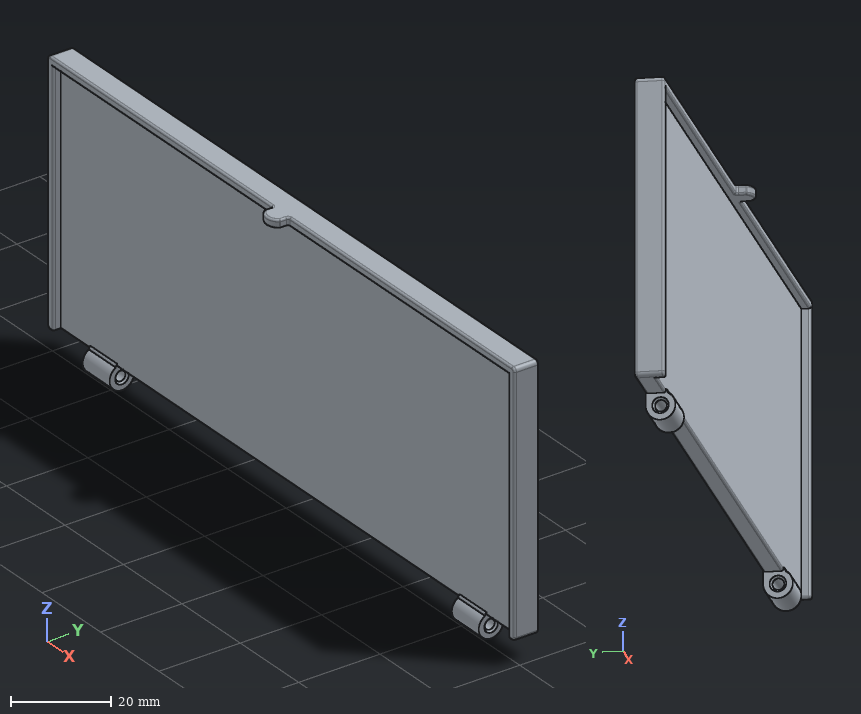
import cadquery as cq
import math

length = 160.0
depth = 9.6
height = 68.0
rim_depth = 6.0
recess_depth = 2.0
rim_width = 2.0
corner_radius = 1.0
tab_root_radius = 0.5
edge_round = 0.5

barrel_length = 9.3
barrel_overlap = 0.5
barrel_inset = 12.2
blend_radius = 0.8
pin_diameter = 2.4
pin_chamfer = 0.5

tab_width = 5.3
tab_arc_rise = 1.5

barrel_diameter = rim_depth
barrel_radius = barrel_diameter / 2
barrel_center_y = rim_depth - barrel_radius
barrel_center_x = length / 2 - barrel_inset - barrel_length / 2
tray_bottom = barrel_diameter - barrel_overlap
tray_height = height - tray_bottom
tab_reach = depth - rim_depth


def box(x_size, y_size, z_size, y_min, z_min):
    """Box centred on X that starts at the given Y and Z."""
    return (
        cq.Workplane("XY")
        .box(x_size, y_size, z_size, centered=(True, False, False))
        .translate((0, y_min, z_min))
    )


def make_tab():
    """Finger tab with a rounded tip, as thick as the rim and level with its top."""
    half_width = tab_width / 2
    shoulder_y = tab_arc_rise - tab_reach
    return (
        cq.Workplane("XY")
        .workplane(offset=height - rim_width)
        .moveTo(-half_width, recess_depth)
        .lineTo(-half_width, shoulder_y)
        .threePointArc((0, -tab_reach), (half_width, shoulder_y))
        .lineTo(half_width, recess_depth)
        .close()
        .extrude(rim_width)
    )


def make_tray():
    """Panel with a rim on the top and both ends, open along its bottom, and the tab."""
    outer = box(length, rim_depth, tray_height, 0, tray_bottom).edges("|Y").fillet(corner_radius)
    recess = box(length - 2 * rim_width, recess_depth, tray_height - rim_width, 0, tray_bottom)
    tray = outer.cut(recess).union(make_tab())
    root_corners = cq.selectors.BoxSelector(
        (-tab_width, -edge_round, tray_bottom), (tab_width, edge_round, height)
    )
    tray = tray.edges("|Z").edges(root_corners).fillet(tab_root_radius)
    recess_corners = cq.selectors.BoxSelector(
        (-length / 2 + edge_round, edge_round, tray_bottom + edge_round),
        (length / 2 - edge_round, recess_depth + edge_round, height - edge_round),
    )
    return tray.edges(-recess_corners).fillet(edge_round)


def make_barrel(center_x):
    """Hinge barrel flush with the back face, blended by an arc into the front of the panel."""
    panel_front = recess_depth
    blend_center_y = panel_front - blend_radius
    center_gap = barrel_radius + blend_radius
    gap_y = barrel_center_y - blend_center_y
    gap_z = math.sqrt(center_gap**2 - gap_y**2)
    blend_center_z = barrel_radius + gap_z
    touch_share = barrel_radius / center_gap
    touch_point = (barrel_center_y - gap_y * touch_share, barrel_radius + gap_z * touch_share)
    diagonal = barrel_radius * math.sqrt(0.5)

    start = cq.Workplane("YZ", origin=(center_x - barrel_length / 2, 0, 0))
    barrel = (
        start.moveTo(rim_depth, barrel_radius)
        .threePointArc((barrel_center_y - diagonal, barrel_radius - diagonal), touch_point)
        .radiusArc((panel_front, blend_center_z), blend_radius)
        .lineTo(rim_depth, blend_center_z)
        .close()
        .extrude(barrel_length)
    )
    pin_hole = start.center(barrel_center_y, barrel_radius).circle(pin_diameter / 2).extrude(barrel_length)
    drilled = barrel.cut(pin_hole)
    on_ends = drilled.faces("<X or >X").edges("%CIRCLE")
    pin_mouths = on_ends.edges(cq.selectors.RadiusNthSelector(1))
    return pin_mouths.chamfer(pin_chamfer)


result = make_tray()
for side in (-1, 1):
    result = result.union(make_barrel(side * barrel_center_x))